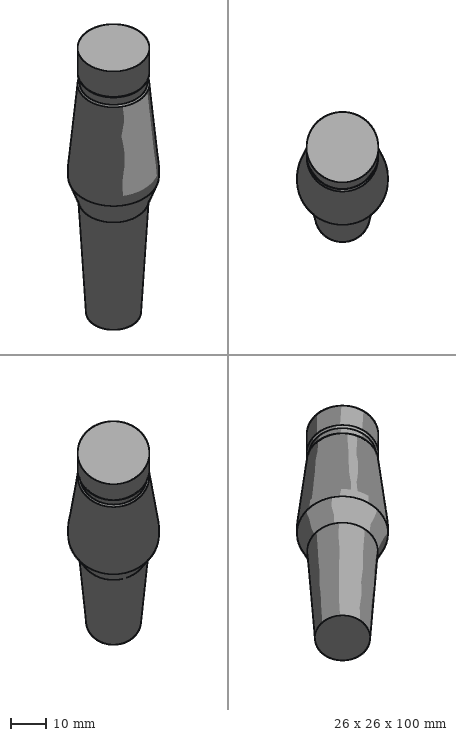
import cadquery as cq

total_height = 100.0
tip_radius = 15.8 / 2
shank_radius = 20.1 / 2
belt_radius = 26.0 / 2
head_radius = 20.5 / 2
neck_radius = 19.4 / 2

shank_top = 42.0
shank_land_top = 42.6
belt_bottom = 51.4
belt_top = 55.0
shoulder_top = 86.4
shoulder_chamfer = 0.5
head_bottom = 90.4
head_chamfer = 0.8

profile = [
    (0, 0),
    (tip_radius, 0),
    (shank_radius, shank_top),
    (shank_radius, shank_land_top),
    (belt_radius, belt_bottom),
    (belt_radius, belt_top),
    (head_radius, shoulder_top),
    (neck_radius, shoulder_top + shoulder_chamfer),
    (neck_radius, head_bottom - head_chamfer),
    (head_radius, head_bottom),
    (head_radius, total_height),
    (0, total_height),
]

result = cq.Workplane("XZ").polyline(profile).close().revolve(360, (0, 0), (0, 1))